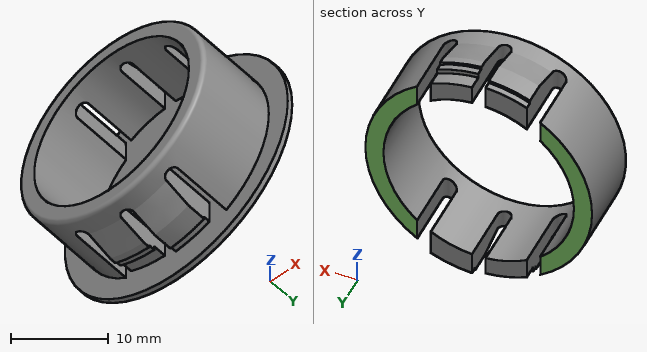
import cadquery as cq

cap_radius = 15.25
cap_thickness = 0.7
dome_height = 0.85

barrel_radius = 12.65
bore_radius = 10.58
barrel_length = 9.95
rim_fillet = 0.5

crest_radius = 13.5
step_radius = 13.25
seat_radius = 12.72

arm_end = 0.9
latch_length = 3.2
step_pitch = 0.8
crest_end = arm_end + latch_length
ramp_end = 7.45
single_step_depth = crest_end - 3 * step_pitch
seat_depth = crest_end - 2 * step_pitch
middle_step_depth = crest_end - step_pitch

slot_width = 1.5
arm_width = 4.6
arm_inner_x = slot_width / 2
arm_outer_x = arm_inner_x + arm_width
slot_pitch = arm_width + slot_width
window_half_width = arm_outer_x + slot_width


def revolve_about_y(profile):
    return profile.close().revolve(360, (0, 0, 0), (0, 1, 0))


def side_box(x_min, x_max, depth_min, depth_max, z_side):
    """Block on one Z side of the axis, reaching outward past the barrel."""
    return (
        cq.Workplane("XY")
        .moveTo(x_min, -depth_min)
        .lineTo(x_max, -depth_min)
        .lineTo(x_max, -depth_max)
        .lineTo(x_min, -depth_max)
        .close()
        .extrude(z_side * cap_radius)
    )


def make_cap():
    rim_top = cap_thickness
    dome_top = cap_thickness + dome_height
    sphere_radius = (cap_radius**2 + dome_height**2) / (2 * dome_height)
    half_radius = cap_radius / 2
    half_drop = sphere_radius - (sphere_radius**2 - half_radius**2) ** 0.5
    return revolve_about_y(
        cq.Workplane("XY")
        .lineTo(cap_radius, 0)
        .lineTo(cap_radius, rim_top)
        .threePointArc((half_radius, dome_top - half_drop), (0, dome_top))
    )


def make_barrel():
    barrel = (
        cq.Workplane("XZ")
        .circle(barrel_radius)
        .extrude(barrel_length)
        .faces("<Y")
        .edges()
        .fillet(rim_fillet)
    )
    bore = cq.Workplane("XZ").circle(bore_radius).extrude(barrel_length)
    barrel = barrel.cut(bore)

    for z_side in (-1, 1):
        barrel = barrel.cut(
            side_box(-window_half_width, window_half_width, 0, ramp_end, z_side)
        )
        slot_ends = (
            cq.Workplane("XY")
            .pushPoints([(i * slot_pitch, -ramp_end) for i in (-1, 0, 1)])
            .circle(slot_width / 2)
            .extrude(z_side * cap_radius)
        )
        barrel = barrel.cut(slot_ends)
    return barrel


def latch_ring(steps):
    """Full ring with a latch profile; steps lists (radius, depth where it ends)."""
    profile = cq.Workplane("XY").moveTo(bore_radius, -arm_end)
    depth = arm_end
    for radius, end_depth in steps:
        profile = profile.lineTo(radius, -depth).lineTo(radius, -end_depth)
        depth = end_depth
    return revolve_about_y(
        profile.lineTo(barrel_radius, -ramp_end).lineTo(bore_radius, -ramp_end)
    )


def make_arms():
    single_step_ring = latch_ring(
        [(step_radius, single_step_depth), (crest_radius, crest_end)]
    )
    double_step_ring = latch_ring(
        [
            (seat_radius, seat_depth),
            (step_radius, middle_step_depth),
            (crest_radius, crest_end),
        ]
    )
    arms = []
    for z_side in (-1, 1):
        for x_side in (-1, 1):
            ring = double_step_ring if x_side == z_side else single_step_ring
            sector = side_box(
                x_side * arm_inner_x, x_side * arm_outer_x, 0, ramp_end, z_side
            )
            arms.append(ring.intersect(sector))
    return arms


result = make_cap().union(make_barrel())
for arm in make_arms():
    result = result.union(arm)